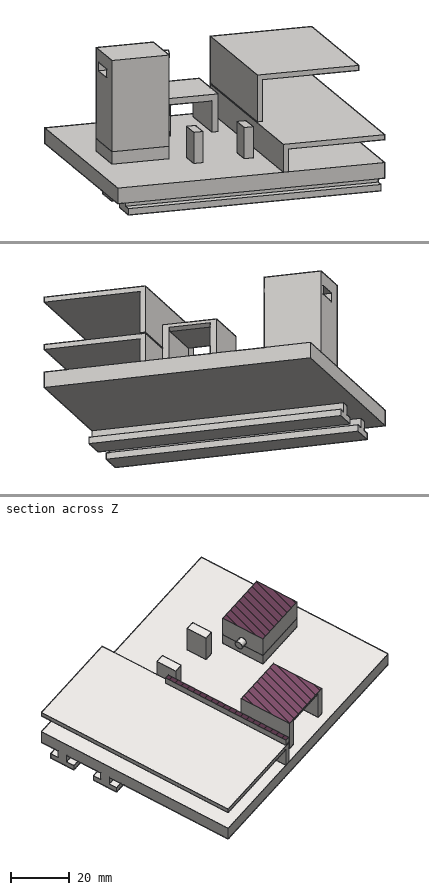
import cadquery as cq

base_x, base_y, base_thick = 77.2, 96.05, 5.6
rail_length = 90.9
rail_height = 5.6
flange_width, flange_thick = 9.6, 2.3
stem_width = 3.6
first_rail_x, rail_pitch = 12.3, 17.7

sheet = 1.8
shelf_depth = 36.5
lower_height = 9.9
upper_length, upper_height = 49.85, 16.6
shelf_gap = 0.4

tunnel_x, tunnel_length = -35.3, 20.1
tunnel_y, tunnel_width = -13.1, 19.5
tunnel_height = 13.35
tunnel_wall = 2.3
mouth_chamfer = 1.2

post_x, post_length = 10.95, 7.8
post_width, post_height = 3.3, 11.0
post_centers_y = (5.9, -12.3)

tower_x, tower_y = -6.1, -40.5
tower_length, tower_width = 16.7, 20.6
foot_height, tower_height = 4.4, 32.4
window_x, window_length = -3.9, 8.6
window_height, window_below_top = 3.1, 7.7
peg_diameter, peg_length = 3.0, 2.5
peg_x = 2.1
peg_heights = (2.2, 30.1)

base_top = rail_height + base_thick
left, back = -base_x / 2, base_y / 2
wall_front = back - shelf_depth
foot_top = base_top + foot_height


def block(x, y, z, length, width, height):
    """Box placed by its minimum corner."""
    return cq.Workplane("XY").box(length, width, height, centered=False).translate((x, y, z))


def make_rail(center_x):
    rail_front = back - rail_length
    flange = block(center_x - flange_width / 2, rail_front, 0, flange_width, rail_length, flange_thick)
    stem = block(center_x - stem_width / 2, rail_front, 0, stem_width, rail_length, rail_height)
    return flange.union(stem)


def make_base():
    base = block(left, -back, rail_height, base_x, base_y, base_thick)
    for i in range(2):
        base = base.union(make_rail(first_rail_x + i * rail_pitch))
    return base


def make_shelf(bottom, length, height):
    """L-shaped shelf: a front wall carrying a sheet that reaches back."""
    wall = block(left, wall_front, bottom, length, sheet, height)
    top = block(left, wall_front, bottom + height - sheet, length, shelf_depth, sheet)
    return wall.union(top)


def make_tunnel():
    ceiling = tunnel_height - tunnel_wall
    shell = block(tunnel_x, tunnel_y, base_top, tunnel_length, tunnel_width, tunnel_height)
    passage = (
        cq.Workplane("XZ", origin=(tunnel_x, tunnel_y + tunnel_wall, base_top))
        .polyline([
            (0, 0),
            (tunnel_length, 0),
            (tunnel_length, ceiling),
            (mouth_chamfer, ceiling),
            (0, ceiling + mouth_chamfer),
        ])
        .close()
        .extrude(-(tunnel_width - 2 * tunnel_wall))
    )
    return shell.cut(passage)


def make_post(center_y):
    return block(post_x, center_y - post_width / 2, base_top, post_length, post_width, post_height)


def make_foot():
    return block(tower_x, tower_y, base_top, tower_length, tower_width, foot_height)


def make_tower():
    tower = block(tower_x, tower_y, foot_top, tower_length, tower_width, tower_height)
    window_z = foot_top + tower_height - window_below_top
    tower = tower.cut(block(window_x, tower_y, window_z, window_length, tower_width, window_height))
    for height in peg_heights:
        peg_origin = (peg_x, tower_y + tower_width, foot_top + height)
        peg = cq.Workplane("XZ", origin=peg_origin).circle(peg_diameter / 2).extrude(-peg_length)
        tower = tower.union(peg)
    return tower


base = make_base()
lower_shelf = make_shelf(base_top, base_x, lower_height)
upper_shelf = make_shelf(base_top + lower_height + shelf_gap, upper_length, upper_height)
tunnel = make_tunnel()
posts = [make_post(center_y) for center_y in post_centers_y]
foot = make_foot()
tower = make_tower()

result = cq.Compound.makeCompound([
    base.val(),
    lower_shelf.val(),
    upper_shelf.val(),
    tunnel.val(),
    *[post.val() for post in posts],
    foot.val(),
    tower.val(),
])